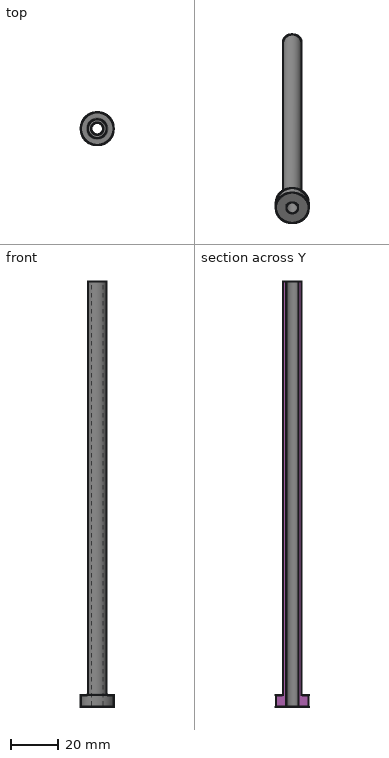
import cadquery as cq

total_length = 180.0
head_diameter = 14.0
head_height = 5.0
shank_diameter = 8.0
bore_diameter = 5.0
neck_fillet = 0.5

head_radius = head_diameter / 2
shank_radius = shank_diameter / 2


def make_head():
    """Round head resting on the XY plane."""
    return cq.Workplane("XY").circle(head_radius).extrude(head_height)


def make_shank():
    """Slender shank reaching from the base to the full length."""
    return cq.Workplane("XY").circle(shank_radius).extrude(total_length)


def round_neck(sleeve):
    """Fillet the inside corner where the shank meets the top of the head."""
    near_neck = cq.selectors.BoxSelector(
        (-head_radius, -head_radius, head_height / 2),
        (head_radius, head_radius, head_height + neck_fillet),
    )
    smallest_circle = cq.selectors.RadiusNthSelector(0)
    return sleeve.edges("%CIRCLE").edges(near_neck).edges(smallest_circle).fillet(neck_fillet)


def bore_through(sleeve):
    """Cut the straight bore along the full length."""
    return sleeve.faces(">Z").workplane().circle(bore_diameter / 2).cutThruAll()


result = bore_through(round_neck(make_head().union(make_shank())))